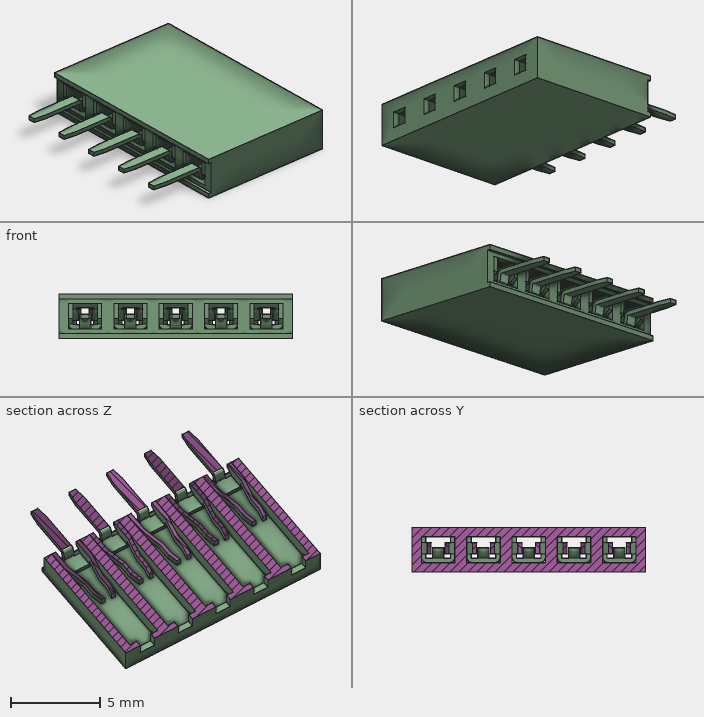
import cadquery as cq
import math

CONTACT_COUNT = 5
PITCH = 2.54

HOUSING_WIDTH = 13.1
HOUSING_LENGTH = 8.5
HOUSING_HEIGHT = 2.5
RECESS_DEPTH = 0.2
LIP_THICKNESS = 0.29
CAVITY_WIDTH = 1.86
CAVITY_HEIGHT = 1.44
END_WALL = 0.39
ENTRY_SIZE = 0.94

SHEET = 0.25
WALL_FRONT = RECESS_DEPTH
FLOOR_FRONT = 0.62
CHANNEL_BACK = 1.57
NOTCH_TOP = -SHEET / 2
NOTCH_BOTTOM = -0.43

PIN_WIDTH = 0.64
PIN_REACH = 3.0
TIP_WIDTH = 0.45
TIP_LENGTH = 0.8
STEP_FRONT = 0.25
STEP_TILT = 10.0
INNER_BEND_RADIUS = 0.03
OUTER_BEND_RADIUS = INNER_BEND_RADIUS + SHEET

ARM_TOP = 0.4
ARM_BOTTOM = -0.24
ARM_SLOPE = 12.0
ARM_WAIST_GAP = 0.75
ARM_TIP_GAP = 0.45
ARM_WAIST_LENGTH = 0.79

CAVITY_FLOOR = -CAVITY_HEIGHT / 2
CHANNEL_FLOOR = CAVITY_FLOOR + SHEET
CHANNEL_HALF_WIDTH = CAVITY_WIDTH / 2 - SHEET


def box(width, y_start, y_end, z_bottom, z_top):
    """A box centred on X = 0, between the given Y and Z positions."""
    size = (width, y_end - y_start, z_top - z_bottom)
    return cq.Workplane().box(*size, centered=(True, False, False)).translate((0, y_start, z_bottom))


def side_profile(points, width):
    """A (Y, Z) outline extruded evenly to both sides of X = 0."""
    return cq.Workplane("YZ").polyline(points).close().extrude(width / 2, both=True)


def make_housing(positions):
    half_height = HOUSING_HEIGHT / 2
    half_recess = half_height - LIP_THICKNESS
    housing = box(HOUSING_WIDTH, 0, HOUSING_LENGTH, -half_height, half_height)
    housing = housing.cut(box(HOUSING_WIDTH, 0, RECESS_DEPTH, -half_recess, half_recess))
    cavity = box(CAVITY_WIDTH, 0, HOUSING_LENGTH - END_WALL, CAVITY_FLOOR, -CAVITY_FLOOR)
    entry = box(ENTRY_SIZE, 0, HOUSING_LENGTH, -ENTRY_SIZE / 2, ENTRY_SIZE / 2)
    for x in positions:
        housing = housing.cut(cavity.translate((x, 0, 0))).cut(entry.translate((x, 0, 0)))
    return housing


def make_channel():
    """U-shaped base whose walls overhang the floor at the front with sloping undersides."""
    channel = box(CAVITY_WIDTH, WALL_FRONT, CHANNEL_BACK, CAVITY_FLOOR, -CAVITY_FLOOR)
    channel = channel.edges("|Y and <Z").fillet(OUTER_BEND_RADIUS)
    inside = box(2 * CHANNEL_HALF_WIDTH, WALL_FRONT, CHANNEL_BACK, CHANNEL_FLOOR, -CAVITY_FLOOR)
    notch = side_profile(
        [
            (WALL_FRONT, CAVITY_FLOOR),
            (WALL_FRONT, NOTCH_TOP),
            (FLOOR_FRONT, NOTCH_BOTTOM),
            (FLOOR_FRONT, CAVITY_FLOOR),
        ],
        CAVITY_WIDTH,
    )
    return channel.cut(inside).cut(notch)


def make_step():
    """Bent strip that runs from the pin down to the channel floor."""
    lean = math.tan(math.radians(STEP_TILT))
    thickness_along_y = SHEET / math.cos(math.radians(STEP_TILT))
    pin_top = SHEET / 2

    def front_y(z):
        return STEP_FRONT + lean * (-pin_top - z)

    def back_y(z):
        return front_y(z) + thickness_along_y

    inner_top = (front_y(-pin_top), -pin_top)
    outer_top = (back_y(pin_top), pin_top)
    outer_bottom = (front_y(CAVITY_FLOOR), CAVITY_FLOOR)
    step = side_profile(
        [
            (0, -pin_top),
            inner_top,
            outer_bottom,
            (CHANNEL_BACK, CAVITY_FLOOR),
            (CHANNEL_BACK, CHANNEL_FLOOR),
            (back_y(CHANNEL_FLOOR), CHANNEL_FLOOR),
            outer_top,
            (0, pin_top),
        ],
        PIN_WIDTH,
    )
    bends = (
        (inner_top, INNER_BEND_RADIUS),
        (outer_top, OUTER_BEND_RADIUS),
        (outer_bottom, OUTER_BEND_RADIUS),
    )
    for (y, z), radius in bends:
        step = step.edges(cq.NearestToPointSelector((0, y, z))).fillet(radius)
    return step


def make_pin():
    """Flat solder pin with a tapered tip."""
    half_width = PIN_WIDTH / 2
    half_tip = TIP_WIDTH / 2
    taper_start = TIP_LENGTH - PIN_REACH
    outline = [
        (-half_width, 0),
        (-half_width, taper_start),
        (-half_tip, -PIN_REACH),
        (half_tip, -PIN_REACH),
        (half_width, taper_start),
        (half_width, 0),
    ]
    return cq.Workplane().polyline(outline).close().extrude(SHEET / 2, both=True)


def make_right_arm():
    """Spring arm that continues the +X channel wall and closes in over two slopes."""
    rise = math.tan(math.radians(ARM_SLOPE))
    waist_x = ARM_WAIST_GAP / 2
    tip_x = ARM_TIP_GAP / 2
    waist_start = CHANNEL_BACK + (CHANNEL_HALF_WIDTH - waist_x) / rise
    waist_end = waist_start + ARM_WAIST_LENGTH
    tip_y = waist_end + (waist_x - tip_x) / rise
    inner = [
        (CHANNEL_HALF_WIDTH, CHANNEL_BACK),
        (waist_x, waist_start),
        (waist_x, waist_end),
        (tip_x, tip_y),
    ]
    outer = [(x + SHEET, y) for x, y in reversed(inner)]
    arm = cq.Workplane().polyline(inner + outer).close().extrude(ARM_TOP - ARM_BOTTOM)
    return arm.translate((0, 0, ARM_BOTTOM))


def make_contact():
    right_arm = make_right_arm()
    contact = make_channel().union(make_step()).union(make_pin())
    return contact.union(right_arm).union(right_arm.mirror("YZ"))


contact_positions = [(i - (CONTACT_COUNT - 1) / 2) * PITCH for i in range(CONTACT_COUNT)]
housing = make_housing(contact_positions)
contact = make_contact()
contacts = [contact.translate((x, 0, 0)) for x in contact_positions]

result = cq.Compound.makeCompound([housing.val(), *[body.val() for body in contacts]])